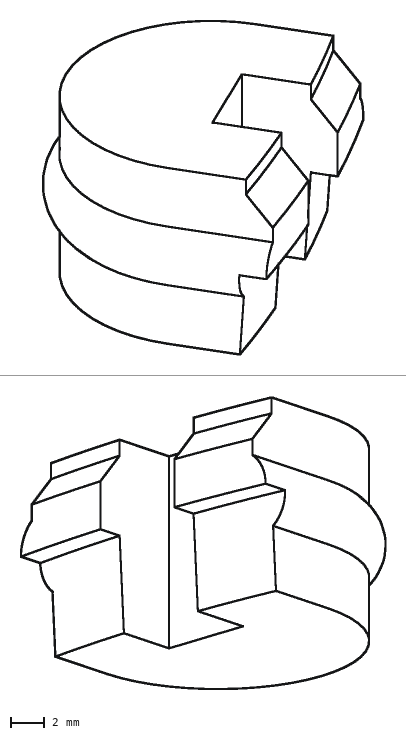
import cadquery as cq

height = 12.0
body_radius = 8.98
bead_bulge = 0.98
slot_width = 6.02
slot_floor = 1.0
turn_angle = 30.0

foot_reach = 4.95
step_reach = 5.32
lip_reach = 6.98
crown_reach = 5.32
end_curve_radius = 90.03

bead_bottom = height / 3
bead_top = 2 * height / 3
bead_middle = height / 2
chamfer_bottom = 0.75 * height
chamfer_top = height * 11 / 12
arm_trim = 2.18
blank_length = lip_reach + arm_trim


def bead_section(plane):
    """Half-lens section of the bead, closed along the body axis."""
    return (
        cq.Workplane(plane)
        .moveTo(0, bead_bottom)
        .lineTo(body_radius, bead_bottom)
        .threePointArc((body_radius + bead_bulge, bead_middle), (body_radius, bead_top))
        .lineTo(0, bead_top)
        .close()
    )


def beaded_blank():
    """Round-backed U block with a bead around its outside."""
    arms = cq.Workplane("XY").box(
        blank_length, 2 * body_radius, height, centered=(False, True, False)
    )
    body = cq.Workplane("XY").circle(body_radius).extrude(height).union(arms)
    body = body.union(bead_section("XZ").revolve(360, (0, 0), (0, 1)))
    arm_bead = bead_section("YZ").extrude(blank_length)
    return body.union(arm_bead).union(arm_bead.mirror("XZ"))


def end_envelope():
    """Large turned solid whose rim is the stepped, chamfered end of the arms."""
    axis_x = lip_reach - end_curve_radius
    return (
        cq.Workplane("XZ")
        .moveTo(axis_x, 0)
        .lineTo(foot_reach, 0)
        .lineTo(step_reach, bead_middle)
        .lineTo(lip_reach, bead_middle)
        .lineTo(lip_reach, chamfer_bottom)
        .lineTo(crown_reach, chamfer_top)
        .lineTo(crown_reach, height)
        .lineTo(axis_x, height)
        .close()
        .revolve(360, (axis_x, 0), (axis_x, 1))
    )


def slot():
    """Open slot between the arms, through the full height."""
    return (
        cq.Workplane("XY")
        .box(blank_length, slot_width, height, centered=(False, True, False))
        .translate((slot_floor, 0, 0))
    )


part = beaded_blank().intersect(end_envelope()).cut(slot())
result = part.rotate((0, 0, 0), (0, 0, 1), turn_angle)